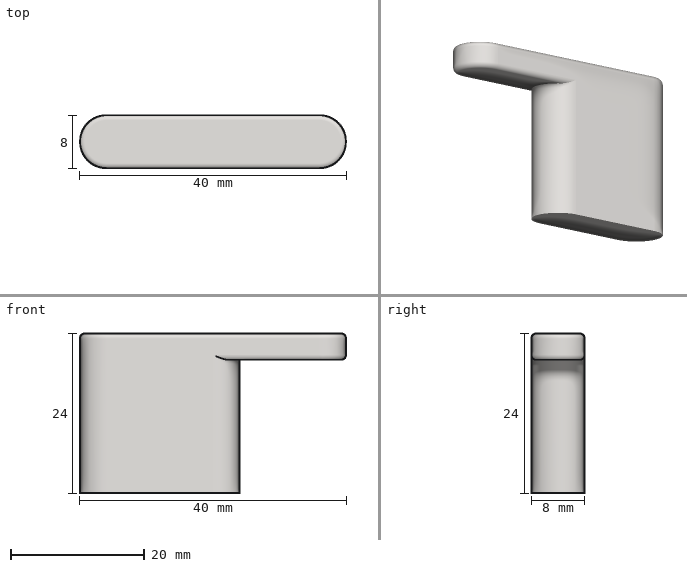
import cadquery as cq

width = 8.0
arm_length = 40.0
post_length = 24.0
total_height = 24.0
arm_thickness = 4.0
edge_radius = 0.75

arm_bottom = total_height - arm_thickness
post_top = total_height - edge_radius


def round_ended_bar(length, bottom, top):
    """Upright bar with semicircular ends, its left end touching X = 0."""
    return (
        cq.Workplane("XY", origin=(length / 2, 0, bottom))
        .slot2D(length, width)
        .extrude(top - bottom)
    )


def make_arm():
    """Horizontal arm with both rims rounded."""
    arm = round_ended_bar(arm_length, arm_bottom, total_height)
    return arm.faces("<Z or >Z").edges().fillet(edge_radius)


def make_post():
    """Vertical post, sharing the arm's left end and running up inside it."""
    return round_ended_bar(post_length, 0, post_top)


result = make_arm().union(make_post()).clean()